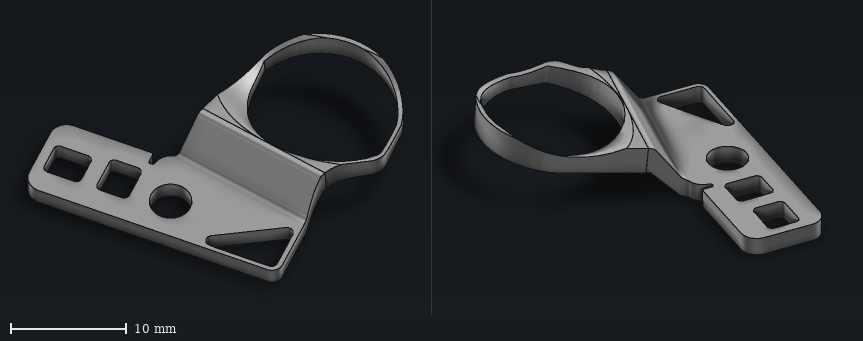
import cadquery as cq
import math

plate_length = 24.11
plate_width = 7.66
plate_thickness = 1.72
left_corner_radius = 1.55
right_corner_radius = 1.0

fold_angle = 10.0
ramp_top_angle = 54.0
ramp_bottom_angle = 45.0
ramp_top_start = 10.2
ramp_bottom_start = 10.36
foot_radius = 0.95
crest_radius = 0.9
heel_radius = 1.0
seam_distance = 13.25
seam_height = 5.30
ring_tilt = 5.0
ring_thickness = 2.55

ring_center = (21.17, 15.2)
ring_outer_radius = 7.45
ring_right_x = 28.46
opening_radius = 7.0
opening_left_x = 14.88
opening_right_x = 28.02
opening_bottom_y = 9.97
opening_lower_radius = 9.0
opening_left_fillet = 5.7
opening_right_fillet = 0.7

left_wall_foot = (11.17, 8.65)
left_wall_end_angle = 30.0
left_wall_fillet = 5.0
neck_radius = 4.8
neck_start_y = 7.0
shoulder_y = 13.4
shoulder_radius = 1.8
shoulder_sweep = 56.5

scoop_center = (21.5, 16.0)
scoop_depth = 2.17
scoop_radius_along_x = 23.6
scoop_radius_along_y = 9.6
scoop_half_length = 8.0

window_long = 3.5
window_short = 3.0
window_fillet = 0.5
left_window_center = (2.71, 3.66)
right_window_center = (7.45, 3.92)
round_hole_diameter = 3.66
round_hole_center = (12.49, 3.49)
triangle_corner = (23.62, 0.43)
triangle_base = 8.08
triangle_height = 4.9
triangle_fillet = 0.55

notch_left_x = 9.08
notch_width = 0.52
notch_bottom_y = 6.5
notch_mouth_fillet = 0.2
lobe_start_y = 6.76
lobe_middle = (9.99, 7.6)
lobe_end = (10.55, 8.0)
root_middle = (10.97, 8.22)

TALL = 20.0
WIDE = 60.0


def sin(angle):
    return math.sin(math.radians(angle))


def cos(angle):
    return math.cos(math.radians(angle))


def tan(angle):
    return math.tan(math.radians(angle))


def offset_polar(center, radius, angle):
    """Point at a radius and angle from a center; the angle turns anticlockwise from X."""
    return (center[0] + radius * cos(angle), center[1] + radius * sin(angle))


across_fold = cq.Plane(
    origin=(0, 0, 0),
    xDir=(sin(fold_angle), cos(fold_angle), 0),
    normal=(cos(fold_angle), -sin(fold_angle), 0),
)


def make_arm():
    """Tall block with the side walls of the bend and the outer wall of the ring."""
    neck_center = (plate_length + neck_radius, neck_start_y)
    shoulder_center = (ring_right_x - shoulder_radius, shoulder_y)
    flat_reach = ring_right_x - ring_center[0]
    flat_top_y = ring_center[1] + math.sqrt(ring_outer_radius ** 2 - flat_reach ** 2)
    left_wall_end = offset_polar(ring_center, ring_outer_radius, 180 - left_wall_end_angle)
    return (
        cq.Workplane()
        .moveTo(plate_length, 0)
        .lineTo(plate_length, neck_start_y)
        .threePointArc(
            offset_polar(neck_center, neck_radius, 180 - shoulder_sweep / 2),
            offset_polar(neck_center, neck_radius, 180 - shoulder_sweep),
        )
        .lineTo(*offset_polar(shoulder_center, shoulder_radius, -shoulder_sweep))
        .threePointArc(
            offset_polar(shoulder_center, shoulder_radius, -shoulder_sweep / 2),
            (ring_right_x, shoulder_y),
        )
        .lineTo(ring_right_x, flat_top_y)
        .threePointArc(offset_polar(ring_center, ring_outer_radius, 90), left_wall_end)
        .lineTo(*left_wall_foot)
        .threePointArc(root_middle, lobe_end)
        .threePointArc(lobe_middle, (notch_left_x + notch_width, lobe_start_y))
        .lineTo(notch_left_x + notch_width, 0)
        .close()
        .extrude(TALL)
        .edges(cq.NearestToPointSelector((*left_wall_end, TALL / 2)))
        .fillet(left_wall_fillet)
    )


def make_plate_outline():
    """Tall block with the plate's outline, from its left end to the notch."""
    notch_radius = notch_width / 2
    notch_right_x = notch_left_x + notch_width
    notch_floor_y = notch_bottom_y + notch_radius
    block = (
        cq.Workplane()
        .lineTo(notch_right_x, 0)
        .lineTo(notch_right_x, notch_floor_y)
        .threePointArc((notch_left_x + notch_radius, notch_bottom_y), (notch_left_x, notch_floor_y))
        .lineTo(notch_left_x, plate_width)
        .lineTo(0, plate_width)
        .close()
        .extrude(TALL)
    )
    notch_mouth = cq.NearestToPointSelector((notch_left_x, plate_width, TALL / 2))
    return (
        block.edges("|Z and <X")
        .fillet(left_corner_radius)
        .edges(notch_mouth)
        .fillet(notch_mouth_fillet)
    )


def make_folded_sheet():
    """Plate, ramp and seam lip as one endless folded sheet."""
    top_slope = tan(ramp_top_angle)
    bottom_slope = tan(ramp_bottom_angle)
    lip_slope = tan(ring_tilt)
    seam_top = (seam_distance, seam_height)
    seam_bottom = offset_polar(seam_top, ring_thickness, ring_tilt - 90)
    lip_top_at_origin = seam_height - seam_distance * lip_slope
    lip_bottom_at_origin = seam_bottom[1] - seam_bottom[0] * lip_slope

    crest = (lip_top_at_origin - plate_thickness + ramp_top_start * top_slope) / (top_slope - lip_slope)
    hollow = (lip_bottom_at_origin + ramp_bottom_start * bottom_slope) / (bottom_slope - lip_slope)
    crest_corner = (crest, lip_top_at_origin + crest * lip_slope)
    hollow_corner = (hollow, lip_bottom_at_origin + hollow * lip_slope)
    foot_corner = (ramp_top_start, plate_thickness)
    heel_corner = (ramp_bottom_start, 0)

    sheet = (
        cq.Workplane(across_fold)
        .polyline([
            (-TALL, 0), heel_corner, hollow_corner, seam_bottom,
            seam_top, crest_corner, foot_corner, (-TALL, plate_thickness),
        ])
        .close()
        .extrude(WIDE, both=True)
    )
    for corner, radius in (
        (crest_corner, crest_radius),
        (foot_corner, foot_radius),
        (heel_corner, heel_radius),
    ):
        corner_point = across_fold.toWorldCoords(corner).toTuple()
        sheet = sheet.edges(cq.NearestToPointSelector(corner_point)).fillet(radius)
    return sheet


def make_window(center, size_x, size_y):
    return (
        cq.Workplane()
        .center(*center)
        .rect(size_x, size_y)
        .extrude(TALL)
        .edges("|Z")
        .fillet(window_fillet)
    )


def make_triangle_window():
    corner_x, corner_y = triangle_corner
    return (
        cq.Workplane()
        .polyline([
            triangle_corner,
            (corner_x, corner_y + triangle_height),
            (corner_x - triangle_base, corner_y),
        ])
        .close()
        .extrude(TALL)
        .edges("|Z")
        .fillet(triangle_fillet)
    )


def make_bracket():
    """Plate with its openings and the ramp, up to the seam."""
    right_corner = cq.NearestToPointSelector((plate_length, 0, TALL / 2))
    outline = make_plate_outline().union(make_arm()).edges(right_corner).fillet(right_corner_radius)
    round_hole = cq.Workplane().center(*round_hole_center).circle(round_hole_diameter / 2).extrude(TALL)
    return (
        make_folded_sheet()
        .intersect(outline)
        .cut(make_window(left_window_center, window_long, window_short))
        .cut(make_window(right_window_center, window_short, window_long))
        .cut(round_hole)
        .cut(make_triangle_window())
    )


def make_opening():
    """Tall core of the ring's opening: round on top, flat at the sides, a flatter arc below."""
    ring_top_y = ring_center[1] + ring_outer_radius
    lower_center_y = opening_bottom_y + opening_lower_radius
    core = (
        cq.Workplane()
        .moveTo(opening_left_x, opening_bottom_y)
        .lineTo(opening_right_x, opening_bottom_y)
        .lineTo(opening_right_x, ring_top_y)
        .lineTo(opening_left_x, ring_top_y)
        .close()
        .extrude(TALL)
    )
    lower_disc = (
        cq.Workplane().center(ring_center[0], lower_center_y).circle(opening_lower_radius).extrude(TALL)
    )
    core = core.intersect(lower_disc)
    for corner_x, radius in (
        (opening_left_x, opening_left_fillet),
        (opening_right_x, opening_right_fillet),
    ):
        reach = abs(corner_x - ring_center[0])
        corner_y = lower_center_y - math.sqrt(opening_lower_radius ** 2 - reach ** 2)
        corner = cq.NearestToPointSelector((corner_x, corner_y, TALL / 2))
        core = core.edges(corner).fillet(radius)
    upper_disc = cq.Workplane().center(*ring_center).circle(opening_radius).extrude(TALL)
    lower_half = (
        cq.Workplane()
        .center(ring_center[0], ring_center[1] / 2)
        .rect(WIDE, ring_center[1])
        .extrude(TALL)
    )
    return core.intersect(upper_disc.union(lower_half))


def make_scoop():
    """Barrel-shaped cutter: an arc in the YZ plane turned about an axis along Y."""
    end_rise = scoop_radius_along_y - math.sqrt(scoop_radius_along_y ** 2 - scoop_half_length ** 2)
    axis_height = seam_height - scoop_depth + scoop_radius_along_x
    end_drop = scoop_radius_along_x - end_rise
    return (
        cq.Workplane(cq.Plane(origin=(*scoop_center, axis_height), xDir=(0, 1, 0), normal=(1, 0, 0)))
        .moveTo(-scoop_half_length, 0)
        .lineTo(-scoop_half_length, -end_drop)
        .threePointArc((0, -scoop_radius_along_x), (scoop_half_length, -end_drop))
        .lineTo(scoop_half_length, 0)
        .close()
        .revolve(360, (0, 0), (1, 0))
    )


def make_ring():
    """Ring built flat beyond the seam, then tilted up about the seam's top edge."""
    beyond_seam = (
        cq.Workplane(across_fold)
        .moveTo(seam_distance, seam_height - ring_thickness)
        .rect(WIDE, ring_thickness, centered=False)
        .extrude(WIDE, both=True)
    )
    ring = make_arm().intersect(beyond_seam).cut(make_opening()).cut(make_scoop())
    seam_start = across_fold.toWorldCoords((seam_distance, seam_height, 0))
    seam_end = across_fold.toWorldCoords((seam_distance, seam_height, 1))
    return ring.rotate(seam_start.toTuple(), seam_end.toTuple(), ring_tilt)


bracket = make_bracket()
ring = make_ring()
result = cq.Compound.makeCompound([bracket.solids().val(), ring.solids().val()])